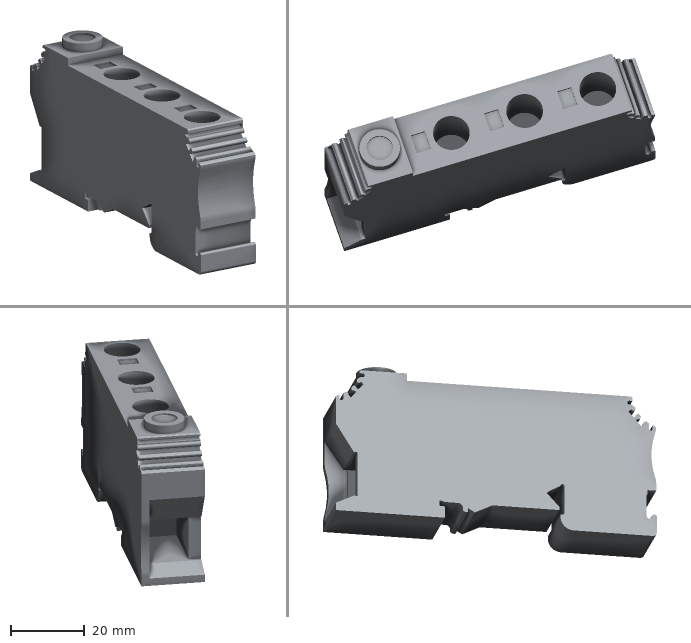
import cadquery as cq
import math

length = 89.0
width = 17.5
deck_z = 40.0
step_z = 42.1
step_x = 19.7
base_z = 1.1
under_z = 5.6
right_x = 88.8

notch_top_z = 13.2
hook_z = 6.2
ledge_z = 4.4
catch_z = 3.2
hook_radius = 0.5
foot_radius = 1.1

left_dish_low, left_dish_high, left_dish_depth = 4.0, 19.85, 1.1
right_dish_low, right_dish_high, right_dish_depth = 15.4, 31.5, 1.3
dish_blend_share = 0.2

grip_edge_z = 34.35
grip_lip_x = 6.6
grip_bevel = 0.4
groove_radius = 0.5
groove_ends = [((7.5, 40.7), (-1, 0)), ((1.5, 33.55), (0, 1))]
groove_length = 2.2
groove_end_wall = 0.3
mirror_drop = 2.5

drum_x = 13.0
drum_diameter = 11.0
drum_top_z = 44.6
drum_recess_diameter = 7.1
drum_recess_depth = 0.5

socket_count = 3
socket_pitch = 20.9
socket_x = 33.5
socket_diameter = 10.0
socket_depth = 13.35
label_offset = 8.7
label_size_x, label_size_y, label_depth = 4.0, 5.4, 0.5

funnel_depth = 5.0
mouth_low, mouth_high, mouth_y = 3.2, 26.2, 6.6
throat_low, throat_high, throat_y = 5.6, 18.25, 5.6
landing_depth = 1.1
chamber_depth = 17.8
chamber_y = 5.4

overshoot = 1.8


def extrude_y(profile):
    """Extrude an XZ profile across the full width, centred on Y."""
    return profile.extrude(width / 2, both=True)


def add_dish(profile, edge_x, start_z, end_z, depth, inward):
    """Append a concave dish, blended tangentially into the end face at both ends."""
    middle_z = (start_z + end_z) / 2
    half = abs(start_z - end_z) / 2
    toward_end = math.copysign(1, end_z - start_z)
    angle = 2 * math.atan(depth / half)
    blend_radius = dish_blend_share * half / math.sin(angle)

    def blend_point(turn, side):
        sink = blend_radius * (1 - math.cos(turn))
        run = half - blend_radius * math.sin(turn)
        return (edge_x + inward * sink, middle_z + side * run)

    return (
        profile.threePointArc(blend_point(angle / 2, -toward_end), blend_point(angle, -toward_end))
        .threePointArc((edge_x + inward * depth, middle_z), blend_point(angle, toward_end))
        .threePointArc(blend_point(angle / 2, toward_end), (edge_x, end_z))
    )


def make_body():
    outline = cq.Workplane("XZ").moveTo(0, base_z).lineTo(0, left_dish_low)
    outline = add_dish(outline, 0, left_dish_low, left_dish_high, left_dish_depth, 1)
    outline = (
        outline.lineTo(0, step_z)
        .lineTo(step_x, step_z)
        .lineTo(step_x, deck_z)
        .lineTo(right_x, deck_z)
        .lineTo(right_x, right_dish_high)
    )
    outline = add_dish(outline, right_x, right_dish_high, right_dish_low, right_dish_depth, -1)
    outline = (
        outline.lineTo(right_x, notch_top_z)
        .lineTo(86.4, notch_top_z)
        .lineTo(86.4, 11.8)
        .lineTo(86.15, 11.8)
        .lineTo(86.15, 5.7)
        .threePointArc((86.9, 5.0), (87.6, 5.7))
        .threePointArc((87.75, 6.05), (88.1, hook_z))
        .lineTo(length - hook_radius, hook_z)
        .radiusArc((length, hook_z - hook_radius), hook_radius)
        .lineTo(length, foot_radius)
        .radiusArc((length - foot_radius, 0), foot_radius)
        .lineTo(66.0, 0)
        .threePointArc((63.4, 1.1), (62.3, 3.4))
        .lineTo(62.3, ledge_z)
    )
    outline = (
        outline.lineTo(62.8, ledge_z)
        .threePointArc((63.2, 4.5), (63.4, 4.9))
        .lineTo(63.4, 12.6)
        .threePointArc((62.8, notch_top_z), (62.3, 12.6))
        .lineTo(59.4, 11.0)
        .lineTo(58.5, 10.3)
        .lineTo(61.6, 6.9)
        .lineTo(62.0, 6.6)
        .lineTo(62.0, 6.0)
        .threePointArc((61.9, 5.7), (61.7, under_z))
    )
    outline = (
        outline.lineTo(43.4, under_z)
        .lineTo(38.5, catch_z)
        .lineTo(37.0, 4.1)
        .lineTo(36.7, 4.45)
        .lineTo(36.7, catch_z)
        .lineTo(35.7, catch_z)
        .lineTo(35.2, 3.65)
        .lineTo(35.2, 4.45)
        .threePointArc((34.8, 5.25), (34.0, under_z))
        .lineTo(30.1, under_z)
        .lineTo(29.7, 5.9)
        .lineTo(28.75, 6.0)
        .lineTo(28.75, 4.8)
        .threePointArc((28.8, 4.45), (29.2, ledge_z))
        .lineTo(30.3, ledge_z)
        .lineTo(30.3, base_z)
        .close()
    )
    return extrude_y(outline)


def make_grip_cutter(corner_z):
    """Waste around the three grip ribs of a corner, plus its two blind grooves."""
    waste = (
        cq.Workplane("XZ")
        .moveTo(grip_lip_x + grip_bevel, corner_z)
        .lineTo(grip_lip_x, corner_z - grip_bevel)
        .lineTo(grip_lip_x, 39.8)
    )
    waste = (
        waste.threePointArc((5.8, 39.2), (6.5, 38.4))
        .lineTo(7.0, 38.7)
        .lineTo(7.65, 38.0)
        .lineTo(6.1, 36.5)
        .lineTo(5.7, 36.9)
        .threePointArc((5.4, 37.4), (4.9, 37.6))
        .lineTo(4.3, 36.9)
        .threePointArc((4.4, 36.4), (4.8, 36.05))
        .lineTo(5.2, 36.05)
        .lineTo(5.6, 35.7)
        .lineTo(4.1, 34.0)
        .lineTo(3.6, 34.7)
        .threePointArc((2.9, 35.5), (2.2, 35.15))
    )
    waste = (
        waste.lineTo(grip_bevel, grip_edge_z)
        .lineTo(0, grip_edge_z - grip_bevel)
        .lineTo(-overshoot, grip_edge_z - grip_bevel)
        .lineTo(-overshoot, corner_z + overshoot)
        .lineTo(grip_lip_x + grip_bevel, corner_z + overshoot)
        .close()
    )
    cutter = extrude_y(waste)
    for (x, z), (out_x, out_z) in groove_ends:
        run = groove_length / 2
        groove = (
            cq.Workplane("XZ", origin=(0, width / 2 - groove_end_wall, 0))
            .center(x + out_x * run, z + out_z * run)
            .slot2D(groove_length + 2 * groove_radius, 2 * groove_radius, 90 * out_z)
            .extrude(width)
        )
        cutter = cutter.union(groove)
    return cutter


def make_drum():
    drum = (
        cq.Workplane("XY", origin=(drum_x, 0, step_z))
        .circle(drum_diameter / 2)
        .extrude(drum_top_z - step_z)
    )
    return drum.faces(">Z").workplane().hole(drum_recess_diameter, drum_recess_depth)


def cut_sockets(body):
    for index in range(socket_count):
        x = socket_x + index * socket_pitch
        deck = cq.Workplane("XY", origin=(x, 0, deck_z))
        body = body.cut(deck.circle(socket_diameter / 2).extrude(-socket_depth))
        label = deck.center(-label_offset, 0).rect(label_size_x, label_size_y).extrude(-label_depth)
        body = body.cut(label)
    return body


def box_between(low, high):
    """Box spanning two opposite corner points."""
    size = [top - bottom for bottom, top in zip(low, high)]
    return cq.Workplane("XY").box(*size, centered=False).translate(low)


def make_cable_entry():
    face_y = -width / 2
    throat_x = funnel_depth + landing_depth
    funnel = (
        cq.Workplane("YZ")
        .center(face_y, (mouth_low + mouth_high) / 2)
        .rect(2 * (mouth_y - face_y), mouth_high - mouth_low)
        .workplane(offset=funnel_depth)
        .center(0, (throat_low + throat_high - mouth_low - mouth_high) / 2)
        .rect(2 * (throat_y - face_y), throat_high - throat_low)
        .loft(ruled=True)
    )
    landing = box_between((funnel_depth, face_y, throat_low), (throat_x, throat_y, throat_high))
    chamber = box_between(
        (throat_x, -chamber_y, throat_low), (throat_x + chamber_depth, chamber_y, throat_high)
    )
    return funnel.union(landing).union(chamber)


left_grip = make_grip_cutter(step_z)
right_grip = make_grip_cutter(deck_z + mirror_drop).mirror("YZ").translate((right_x, 0, -mirror_drop))

result = make_body().cut(left_grip).cut(right_grip)
result = cut_sockets(result).cut(make_cable_entry()).union(make_drum())